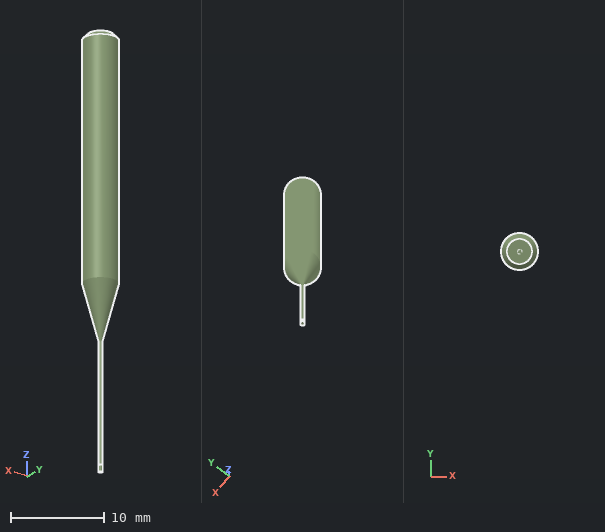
import cadquery as cq
import math

total_length = 50.0
shank_radius = 2.0
shank_chamfer = 0.65

tip_radius = 0.25
tip_length = 0.75

neck_radius = 0.225
neck_top = 14.85
taper_bottom = 15.0
taper_half_angle = 15.0
taper_height = (shank_radius - tip_radius) / math.tan(math.radians(taper_half_angle))
taper_top = taper_bottom + taper_height


def make_holder():
    """Chamfered shank, taper, flare and neck, revolved as one solid."""
    profile = (
        cq.Workplane("XZ")
        .moveTo(0, tip_length)
        .lineTo(neck_radius, tip_length)
        .lineTo(neck_radius, neck_top)
        .lineTo(tip_radius, taper_bottom)
        .lineTo(shank_radius, taper_top)
        .lineTo(shank_radius, total_length - shank_chamfer)
        .lineTo(shank_radius - shank_chamfer, total_length)
        .lineTo(0, total_length)
        .close()
    )
    return profile.revolve(360, (0, 0, 0), (0, 1, 0))


def make_cutting_tip():
    """Plain cylinder that meets the lower end of the neck."""
    return cq.Workplane("XY").circle(tip_radius).extrude(tip_length)


holder = make_holder()
cutting_tip = make_cutting_tip()

result = cq.Compound.makeCompound([holder.val(), cutting_tip.val()])